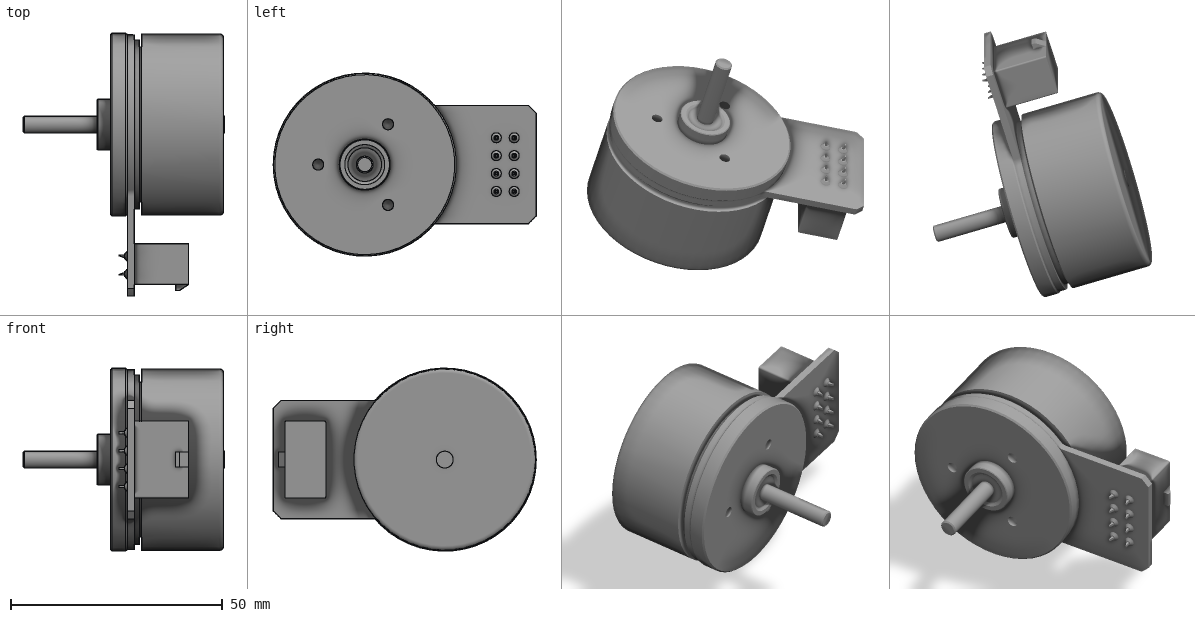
import cadquery as cq
import math

shaft_front = -20.6
shaft_rear = 26.9
boss_front = -3.15
board_front = 4.0
board_rear = 5.65
spacer_rear = 6.8
can_front = 7.3
can_rear = 26.7

shaft_radius = 2.0
boss_radius = 6.0
flange_radius = 21.6
board_radius = 21.25
spacer_radius = 20.0
hub_radius = 18.3
can_radius = 21.4
shaft_chamfer = 0.3
boss_chamfer = 0.2
flange_chamfer = 0.4
can_fillet = 1.0

recess_mouth_radius = 4.7
recess_floor_radius = 4.0
recess_depth = 0.5

hole_count = 3
hole_radius = 1.3
hole_circle_radius = 11.0
hole_depth = 2.5
drill_point_angle = 118

tab_end_y = -40.5
tab_half_height = 14.0
tab_chamfer = 1.85
tab_root_fillet = 2.0

connector_rear = 18.45
connector_height = 18.2
connector_inner_y = -28.1
connector_outer_y = -37.75
connector_fillet = 0.4
latch_length = 3.05
latch_flat = 0.9
latch_rise = 1.4
latch_width = 3.6

pin_pitch = 4.2
pin_rows = 4
pin_row_center_y = -33.15
pin_length = 1.9
pin_width = 0.55
pin_tip_width = 0.2
pin_bevel_length = 0.95
solder_radius = 1.2
solder_tip_radius = 0.55
solder_height = 0.6


def disc(x_start, x_end, radius):
    """Cylinder on the motor axis between two X stations."""
    return cq.Workplane("YZ", origin=(x_start, 0, 0)).circle(radius).extrude(x_end - x_start)


def cone(point, base_radius, tip_radius, height, direction):
    """Cone frustum along X, starting at its base."""
    return cq.Workplane(cq.Solid.makeCone(base_radius, tip_radius, height, cq.Vector(*point),
                                          cq.Vector(direction, 0, 0)))


def make_motor():
    flange = disc(0, board_front, flange_radius).edges().chamfer(flange_chamfer)
    boss = disc(boss_front, 0, boss_radius).faces("<X").edges().chamfer(boss_chamfer)
    spacer = disc(0, spacer_rear, spacer_radius)
    hub = disc(0, can_front, hub_radius)
    can = disc(can_front, can_rear, can_radius).faces(">X").edges().fillet(can_fillet)
    return flange.union(boss).union(spacer).union(hub).union(can)


def make_recess():
    return cone((boss_front, 0, 0), recess_mouth_radius, recess_floor_radius, recess_depth, 1)


def make_shaft():
    return disc(shaft_front, shaft_rear, shaft_radius).faces("<X").edges().chamfer(shaft_chamfer)


def make_mounting_hole(angle):
    y = hole_circle_radius * math.cos(angle)
    z = hole_circle_radius * math.sin(angle)
    point_depth = hole_radius / math.tan(math.radians(drill_point_angle / 2))
    bore = cq.Workplane("YZ").center(y, z).circle(hole_radius).extrude(hole_depth)
    return bore.union(cone((hole_depth, y, z), hole_radius, 0, point_depth, 1))


def make_board():
    thickness = board_rear - board_front
    tab = (
        cq.Workplane("YZ", origin=(board_front, 0, 0))
        .center(tab_end_y / 2, 0)
        .rect(-tab_end_y, 2 * tab_half_height)
        .extrude(thickness)
        .edges("|X and <Y")
        .chamfer(tab_chamfer)
    )
    board = disc(board_front, board_rear, board_radius).union(tab)
    root_y = -math.sqrt(board_radius**2 - tab_half_height**2)
    margin = tab_root_fillet / 2
    root_box = cq.selectors.BoxSelector(
        (board_front - margin, root_y - margin, -tab_half_height - margin),
        (board_rear + margin, root_y + margin, tab_half_height + margin),
    )
    return board.edges("|X").edges(root_box).fillet(tab_root_fillet)


def make_connector():
    length = connector_rear - board_rear
    width = connector_inner_y - connector_outer_y
    housing = (
        cq.Workplane("YZ", origin=(board_rear, 0, 0))
        .center((connector_inner_y + connector_outer_y) / 2, 0)
        .rect(width, connector_height)
        .extrude(length)
        .edges("|X")
        .fillet(connector_fillet)
    )
    latch_front = connector_rear - latch_length
    latch_top_y = connector_outer_y - latch_rise
    latch = (
        cq.Workplane("XY")
        .moveTo(latch_front, connector_outer_y)
        .lineTo(latch_front, latch_top_y)
        .lineTo(latch_front + latch_flat, latch_top_y)
        .lineTo(connector_rear, connector_outer_y)
        .close()
        .extrude(latch_width / 2, both=True)
    )
    return housing.union(latch)


def make_pin(y, z, side):
    """Solder cone with a square pin, bevelled at the tip so that only the given Y side runs full length."""
    solder = cone((board_front, y, z), solder_radius, solder_tip_radius, solder_height, -1)
    tip_x = board_front - pin_length
    full_edge_y = side * pin_width / 2
    pin = (
        cq.Workplane("XY", origin=(0, y, z))
        .moveTo(board_front, full_edge_y)
        .lineTo(tip_x, full_edge_y)
        .lineTo(tip_x, full_edge_y - side * pin_tip_width)
        .lineTo(tip_x + pin_bevel_length, -full_edge_y)
        .lineTo(board_front, -full_edge_y)
        .close()
        .extrude(pin_width / 2, both=True)
    )
    return solder.union(pin)


result = make_motor().cut(make_recess()).union(make_shaft())
for index in range(hole_count):
    result = result.cut(make_mounting_hole(2 * math.pi * index / hole_count))
result = result.union(make_board()).union(make_connector())
for side in (-1, 1):
    for row in range(pin_rows):
        pin_z = (row - (pin_rows - 1) / 2) * pin_pitch
        result = result.union(make_pin(pin_row_center_y + side * pin_pitch / 2, pin_z, side))